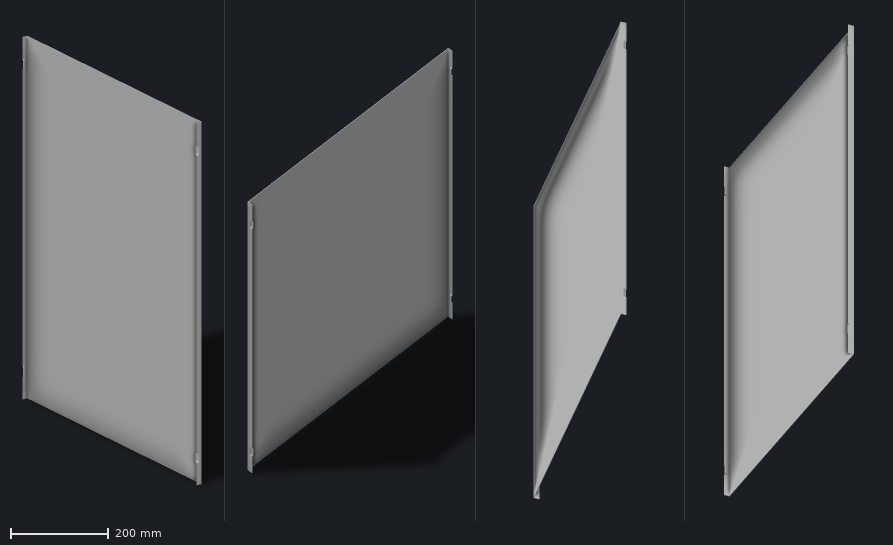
import cadquery as cq

width = 600.0
depth = 13.0
height = 800.0
sheet = 1.2

dimple_length = 24.0
dimple_depth = 6.0
dimple_offset = 3.0
dimple_taper = 2.8
corner_cut = 2.0
dimple_end_distance = 61.0
dimple_centers = (dimple_end_distance, height - dimple_end_distance)


def box(x, y, z, size_x, size_y, size_z):
    """Box placed by its minimum corner."""
    return cq.Workplane("XY").box(size_x, size_y, size_z, centered=False).translate((x, y, z))


def make_tray():
    """Flat sheet at the back with a full-height flange along each side."""
    body = box(0, 0, 0, width, depth, height)
    hollow = box(sheet, 0, 0, width - 2 * sheet, depth - sheet, height)
    return body.cut(hollow)


def dimple_outline(length, reach):
    """Corner points (Y, Z) of the dimple, open at the flange edge."""
    half = length / 2
    return [
        (0, -half),
        (reach - corner_cut, -half),
        (reach, corner_cut - half),
        (reach, half - corner_cut),
        (reach - corner_cut, half),
        (0, half),
    ]


def make_press(center_z, start_x):
    """Tapered block of the dimple, starting at start_x and pointing inward."""
    base = dimple_outline(dimple_length, dimple_depth)
    tip = dimple_outline(dimple_length - 2 * dimple_taper, dimple_depth - dimple_taper)
    plane = cq.Workplane("YZ", origin=(start_x, 0, center_z))
    block = plane.polyline(base).close().workplane(offset=dimple_offset)
    return block.polyline(tip).close().loft(ruled=True)


def mirror_to_right(shape):
    """Copy of a left-side feature on the right flange."""
    return shape.mirror("YZ", (width / 2, 0, 0))


result = make_tray()
for dimple_center in dimple_centers:
    bulge = make_press(dimple_center, sheet)
    recess = make_press(dimple_center, 0)
    result = result.union(bulge).union(mirror_to_right(bulge))
    result = result.cut(recess).cut(mirror_to_right(recess))